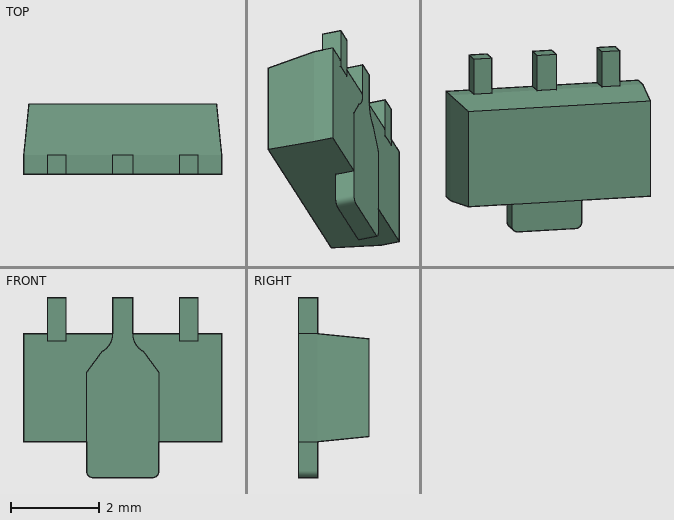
import cadquery as cq
import math

package_width = 4.5
package_height = 2.455
overall_depth = 1.6
overall_height = 4.09
lead_thickness = 0.44
cap_inset = 0.115

lead_width = 0.425
lead_offset = 1.5
lead_embed = 0.165

stem_width = 0.455
pad_width = 1.642
neck_radius = 0.465
neck_drop = 0.41
shoulder_drop = 0.472
pad_corner_radius = 0.15

cap_depth = overall_depth - lead_thickness
package_top = package_height / 2
lead_top = overall_height / 2
pad_bottom = -overall_height / 2


def front_plane(y=0.0):
    """Sketch plane with X right and Z up; its normal is -Y, so a negative extrusion runs toward +Y."""
    return cq.Workplane("XZ", origin=(0, y, 0))


def make_lead(x):
    """Straight rectangular lead let into the front of the package."""
    length = lead_top - package_top + lead_embed
    return (
        front_plane()
        .center(x, lead_top - length / 2)
        .rect(lead_width, length)
        .extrude(-lead_thickness)
    )


def make_tab():
    """Bottle-shaped centre tab with rounded lower corners."""
    half_stem = stem_width / 2
    half_pad = pad_width / 2

    neck_angle = math.asin(neck_drop / neck_radius)

    def neck_point(angle):
        x = half_stem + neck_radius * (1 - math.cos(angle))
        z = package_top - neck_radius * math.sin(angle)
        return x, z

    mid_x, mid_z = neck_point(neck_angle / 2)
    end_x, end_z = neck_point(neck_angle)
    shoulder_z = end_z - shoulder_drop

    return (
        front_plane()
        .moveTo(-half_stem, lead_top)
        .lineTo(half_stem, lead_top)
        .lineTo(half_stem, package_top)
        .threePointArc((mid_x, mid_z), (end_x, end_z))
        .lineTo(half_pad, shoulder_z)
        .lineTo(half_pad, pad_bottom)
        .lineTo(-half_pad, pad_bottom)
        .lineTo(-half_pad, shoulder_z)
        .lineTo(-end_x, end_z)
        .threePointArc((-mid_x, mid_z), (-half_stem, package_top))
        .close()
        .extrude(-lead_thickness)
        .edges("|Y and <Z")
        .fillet(pad_corner_radius)
        .solids()
    )


def make_package(inserts):
    """Moulded package with recesses matching the inserted metal parts."""
    base = front_plane().rect(package_width, package_height).extrude(-lead_thickness)
    cap = (
        front_plane(lead_thickness)
        .rect(package_width, package_height)
        .workplane(offset=-cap_depth)
        .rect(package_width - 2 * cap_inset, package_height - 2 * cap_inset)
        .loft()
    )
    package = base.union(cap)
    for insert in inserts:
        package = package.cut(insert)
    return package.solids()


leads = [make_lead(side * lead_offset) for side in (-1, 1)]
tab = make_tab()
package = make_package([tab, *leads])

result = cq.Compound.makeCompound([package.val(), tab.val(), *[lead.val() for lead in leads]])